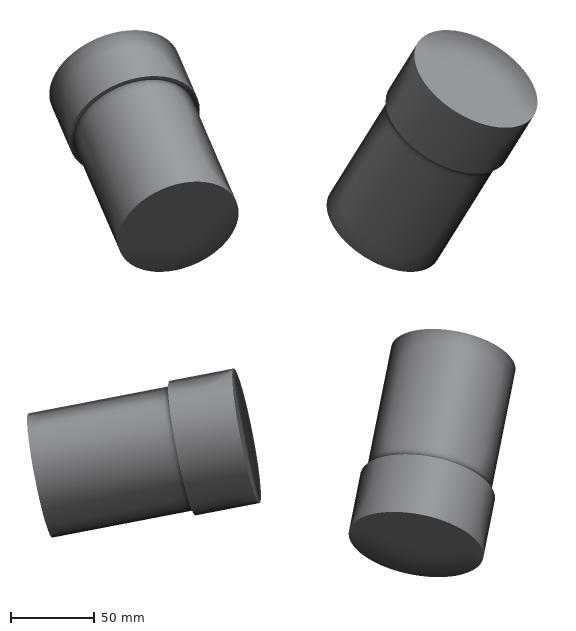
import cadquery as cq

total_length = 127.0
head_length = 39.5
head_diameter = 82.5
body_diameter = 76.2

body_length = total_length - head_length

head = cq.Workplane("YZ").circle(head_diameter / 2).extrude(head_length)

result = head.faces(">X").workplane().circle(body_diameter / 2).extrude(body_length)